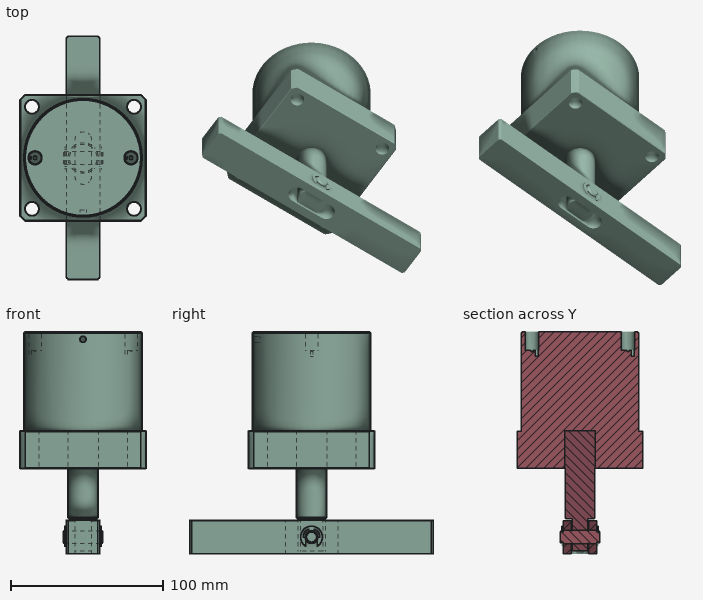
import cadquery as cq


arm_length = 160.0
arm_side = 22.0
arm_corner_chamfer = 1.5
arm_slot_width = 11.0
arm_slot_length = 34.5
pin_height = arm_side / 2

flange_side = 83.0
flange_bottom = 56.0
flange_thickness = 24.8
flange_corner_diameter = 112.3
flange_edge_chamfer = 0.5
mount_hole_diameter = 9.0
mount_hole_spacing = 67.0
cylinder_diameter = 77.8
cylinder_chamfer = 1.0
housing_top = 146.0
flange_top = flange_bottom + flange_thickness

port_diameter = 8.3
port_spacing = 63.0
port_depth = 12.0
port_chamfer = 0.3
centre_mark_diameter = 2.4
centre_mark_depth = 1.0
side_passage_diameter = 1.6
side_passage_depth = 4.0
side_passage_offset = 3.2

vent_diameter = 4.0
vent_depth = 4.8
vent_below_top = 5.0

rod_diameter = 20.0
rod_chamfer = 1.0
rod_bottom = 23.0
rod_top = flange_top
tongue_diameter = rod_diameter - 2 * rod_chamfer
tongue_thickness = 10.5
tongue_bottom = 2.0

pin_length = 26.2
pin_diameter = 8.3
pin_chamfer = 0.8
groove_diameter = 7.0

clip_diameter = 14.2
clip_thickness = 1.0
clip_relief_diameter = 11.0
clip_tongue_width = 3.8
clip_mouth_width = 7.8
clip_mouth_drop = 2.5
clip_starts = (-arm_side / 2 - clip_thickness, arm_side / 2)


def disc_along_x(diameter, x_start, length):
    """Solid cylinder on the pin axis."""
    return (
        cq.Workplane("YZ", origin=(x_start, 0, pin_height))
        .circle(diameter / 2)
        .extrude(length)
    )


def upright_disc(diameter, z_start, z_end):
    """Solid cylinder on the rod axis."""
    return cq.Workplane("XY", origin=(0, 0, z_start)).circle(diameter / 2).extrude(z_end - z_start)


def make_flange():
    """Square flange with its corners turned to a large diameter and a hole near each."""
    corners = [(x, y) for x in (-1, 1) for y in (-1, 1)]
    half_spacing = mount_hole_spacing / 2
    flange = (
        cq.Workplane("XY", origin=(0, 0, flange_bottom))
        .rect(flange_side, flange_side)
        .extrude(flange_thickness)
        .faces("<Z or >Z")
        .chamfer(flange_edge_chamfer)
    )
    turned_corners = upright_disc(flange_corner_diameter, flange_bottom, flange_top)
    holes = (
        cq.Workplane("XY", origin=(0, 0, flange_bottom))
        .pushPoints([(x * half_spacing, y * half_spacing) for x, y in corners])
        .circle(mount_hole_diameter / 2)
        .extrude(flange_thickness)
    )
    return flange.intersect(turned_corners).cut(holes)


def make_port(x):
    """Space of one port: a flat-bottomed hole with a chamfered mouth.

    Its floor has a conical centre mark and a thin passage next to the wall.
    """
    floor = housing_top - port_depth
    port = cq.Workplane("XY", origin=(x, 0, floor)).circle(port_diameter / 2).extrude(port_depth)
    mouth = cq.Workplane(
        cq.Solid.makeCone(
            port_diameter / 2,
            port_diameter / 2 + port_chamfer,
            port_chamfer,
            pnt=cq.Vector(x, 0, housing_top - port_chamfer),
        )
    )
    centre_mark = cq.Workplane(
        cq.Solid.makeCone(
            0,
            centre_mark_diameter / 2,
            centre_mark_depth,
            pnt=cq.Vector(x, 0, floor - centre_mark_depth),
        )
    )
    side_passage = (
        cq.Workplane("XY", origin=(x - side_passage_offset, 0, floor))
        .circle(side_passage_diameter / 2)
        .extrude(-side_passage_depth)
    )
    return port.union(mouth).union(centre_mark).union(side_passage)


def make_housing():
    """Flange and cylinder in one piece, with the vent, both ports and the rod bore."""
    cylinder = (
        upright_disc(cylinder_diameter, flange_top, housing_top)
        .faces(">Z")
        .chamfer(cylinder_chamfer)
    )
    vent = (
        cq.Workplane("XZ", origin=(0, -cylinder_diameter / 2, housing_top - vent_below_top))
        .circle(vent_diameter / 2)
        .extrude(-vent_depth)
    )
    housing = make_flange().union(cylinder).cut(vent)
    for x in (-port_spacing / 2, port_spacing / 2):
        housing = housing.cut(make_port(x))
    return housing.cut(upright_disc(rod_diameter, flange_bottom, rod_top))


def make_rod():
    """Round shaft ending in a two-sided tongue, cross-drilled for the pin."""
    shaft = upright_disc(rod_diameter, rod_bottom, rod_top).faces("<Z").chamfer(rod_chamfer)
    tongue_sides = (
        cq.Workplane("XY", origin=(0, 0, tongue_bottom))
        .rect(tongue_thickness, rod_diameter)
        .extrude(rod_bottom - tongue_bottom)
    )
    tongue = upright_disc(tongue_diameter, tongue_bottom, rod_bottom).intersect(tongue_sides)
    pin_hole = disc_along_x(pin_diameter, -tongue_thickness, 2 * tongue_thickness)
    return shaft.union(tongue).cut(pin_hole)


def make_arm():
    """Square bar with a through slot for the tongue and a cross hole for the pin."""
    bar = (
        cq.Workplane("XY")
        .rect(arm_side, arm_length)
        .extrude(arm_side)
        .edges("|Z")
        .chamfer(arm_corner_chamfer)
    )
    slot = cq.Workplane("XY").slot2D(arm_slot_length, arm_slot_width, 90).extrude(arm_side)
    return bar.cut(slot).cut(disc_along_x(pin_diameter, -arm_side, 2 * arm_side))


def make_clip(x_start):
    """Flat ring in a pin groove, open at the bottom and relieved beside its top tongue."""
    ring = disc_along_x(clip_diameter, x_start, clip_thickness)
    bore = disc_along_x(groove_diameter, x_start, clip_thickness)
    plane = cq.Workplane("YZ", origin=(x_start, 0, pin_height))
    upper_half = (
        plane.center(0, clip_diameter / 2).rect(clip_diameter, clip_diameter).extrude(clip_thickness)
    )
    top_tongue = (
        plane.center(0, clip_diameter / 2).rect(clip_tongue_width, clip_diameter).extrude(clip_thickness)
    )
    relief = (
        disc_along_x(clip_relief_diameter, x_start, clip_thickness)
        .intersect(upper_half)
        .cut(top_tongue)
    )
    mouth = (
        plane.center(0, -clip_mouth_drop - clip_diameter / 2)
        .rect(clip_mouth_width, clip_diameter)
        .extrude(clip_thickness)
    )
    return ring.cut(bore).cut(relief).cut(mouth)


def make_pin():
    """Chamfered pin with a groove for each clip."""
    pin = disc_along_x(pin_diameter, -pin_length / 2, pin_length).faces("<X or >X").chamfer(pin_chamfer)
    for x in clip_starts:
        groove = disc_along_x(pin_diameter, x, clip_thickness).cut(
            disc_along_x(groove_diameter, x, clip_thickness)
        )
        pin = pin.cut(groove)
    return pin


housing = make_housing()
rod = make_rod()
arm = make_arm()
pin = make_pin()
clips = [make_clip(x) for x in clip_starts]

result = cq.Compound.makeCompound(
    [housing.val(), rod.val(), arm.val(), pin.val(), *[clip.val() for clip in clips]]
)